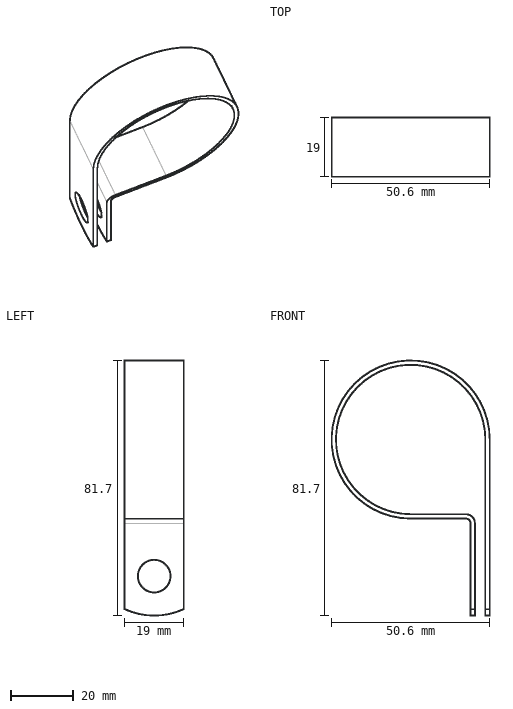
import cadquery as cq

height = 81.7
width = 19.0
loop_radius = 25.3
thickness = 1.5
leg_gap = 3.3
bend_inner_radius = 1.5
hole_diameter = 10.4
hole_height = 12.65
tip_rise = 2.1

loop_inner_radius = loop_radius - thickness
bottom = loop_radius - height
short_leg_outer = loop_inner_radius - leg_gap
short_leg_inner = short_leg_outer - thickness
bend_outer_radius = bend_inner_radius + thickness


def make_strap():
    """Strap of constant thickness: long leg, three-quarter loop, short leg."""
    profile = (
        cq.Workplane("XZ")
        .moveTo(loop_radius, bottom)
        .lineTo(loop_radius, 0)
        .threePointArc((0, loop_radius), (-loop_radius, 0))
        .radiusArc((0, -loop_radius), -loop_radius)
        .lineTo(short_leg_inner - bend_inner_radius, -loop_radius)
        .radiusArc((short_leg_inner, -loop_radius - bend_inner_radius), bend_inner_radius)
        .lineTo(short_leg_inner, bottom)
        .lineTo(short_leg_outer, bottom)
        .lineTo(short_leg_outer, -loop_inner_radius - bend_outer_radius)
        .radiusArc((short_leg_outer - bend_outer_radius, -loop_inner_radius), -bend_outer_radius)
        .lineTo(0, -loop_inner_radius)
        .radiusArc((-loop_inner_radius, 0), loop_inner_radius)
        .threePointArc((0, loop_inner_radius), (loop_inner_radius, 0))
        .lineTo(loop_inner_radius, bottom)
        .close()
    )
    return profile.extrude(width / 2, both=True)


def make_tip_envelope():
    """Block around the strap whose underside is curved like the leg tips."""
    return (
        cq.Workplane("YZ")
        .moveTo(-width / 2, loop_radius)
        .lineTo(-width / 2, bottom + tip_rise)
        .threePointArc((0, bottom), (width / 2, bottom + tip_rise))
        .lineTo(width / 2, loop_radius)
        .close()
        .extrude(loop_radius, both=True)
    )


def make_bolt_hole():
    """Cylinder passing through both legs along X."""
    return (
        cq.Workplane("YZ")
        .center(0, bottom + hole_height)
        .circle(hole_diameter / 2)
        .extrude(loop_radius)
    )


result = make_strap().intersect(make_tip_envelope()).cut(make_bolt_hole())